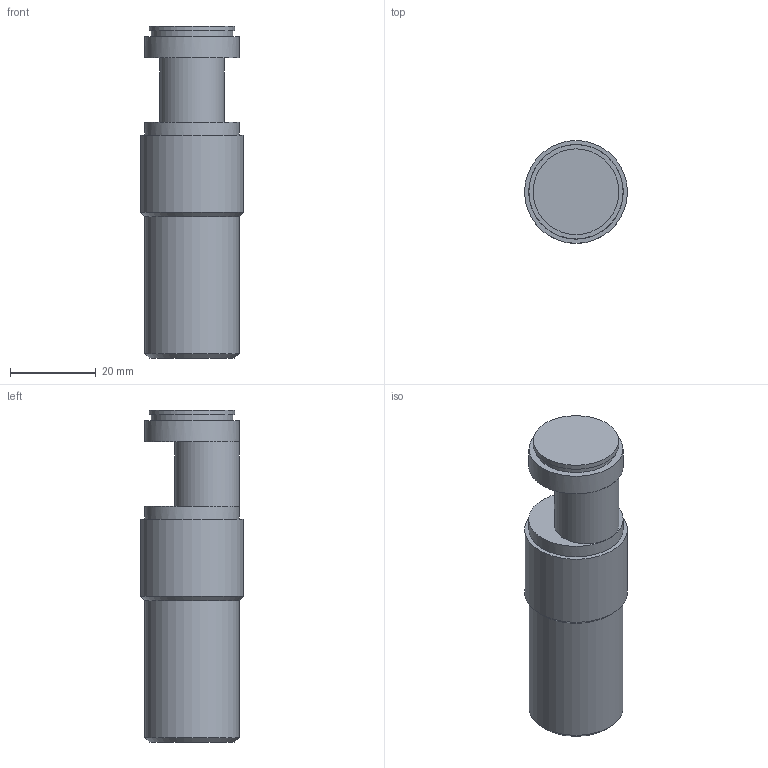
import cadquery as cq

total_height = 77.45
sleeve_bottom = 33.0
sleeve_top = 52.0
neck_bottom = 55.0
neck_top = 70.0
head_top = 75.0
groove_width = 1.3

body_diameter = 22.0
sleeve_diameter = 24.0
neck_diameter = 15.0
groove_diameter = 19.0
rim_diameter = 20.0

bottom_chamfer = 1.0
sleeve_chamfer = (sleeve_diameter - body_diameter) / 2

neck_offset = (body_diameter - neck_diameter) / 2


def cylinder(diameter, bottom, top, y_center=0.0):
    """Vertical cylinder between two heights."""
    return (
        cq.Workplane("XY", origin=(0, y_center, bottom))
        .circle(diameter / 2)
        .extrude(top - bottom)
    )


def make_shank():
    """Lower shank with a chamfered foot, running up to the neck."""
    return cylinder(body_diameter, 0, neck_bottom).faces("<Z").chamfer(bottom_chamfer)


def make_sleeve():
    """Wider band, chamfered down to the shank diameter."""
    return cylinder(sleeve_diameter, sleeve_bottom, sleeve_top).faces("<Z").chamfer(sleeve_chamfer)


def make_neck():
    """Eccentric pin joining shank and head."""
    return cylinder(neck_diameter, neck_bottom, neck_top, -neck_offset)


def make_head():
    """Head disc, retaining groove and top rim."""
    groove_top = head_top + groove_width
    disc = cylinder(body_diameter, neck_top, head_top)
    groove_core = cylinder(groove_diameter, head_top, groove_top)
    rim = cylinder(rim_diameter, groove_top, total_height)
    return disc.union(groove_core).union(rim)


result = make_shank().union(make_sleeve()).union(make_neck()).union(make_head())